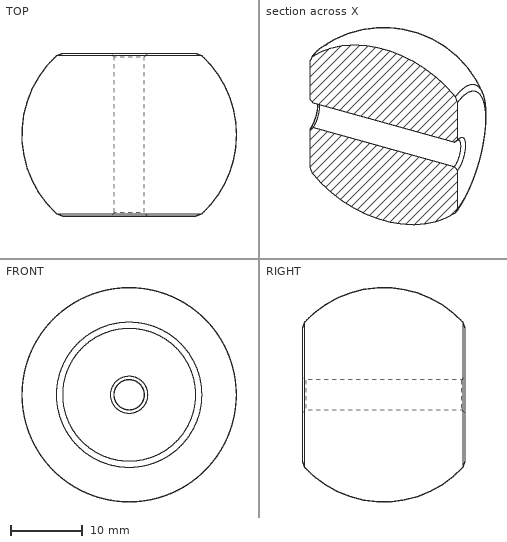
import cadquery as cq
import math

ball_radius = 15.0
flat_spacing = 22.75
bore_radius = 4.2 / 2
chamfer = 0.5

half_width = flat_spacing / 2

sharp_rim_radius = math.sqrt(ball_radius**2 - half_width**2)
flat_radius = sharp_rim_radius - chamfer
rim_angle = math.asin(half_width / ball_radius) - 2 * math.asin(chamfer / (2 * ball_radius))
rim_radius = ball_radius * math.cos(rim_angle)
rim_y = ball_radius * math.sin(rim_angle)

mouth_radius = bore_radius + chamfer
mouth_depth_y = half_width - chamfer


def revolve_about_y(profile):
    """Close a half section beside the Y axis and revolve it a full turn."""
    return profile.close().revolve(360, (0, 0), (0, 1))


def make_knob():
    """Ball with both flats and their chamfered rims."""
    profile = (
        cq.Workplane("XY")
        .moveTo(0, -half_width)
        .lineTo(flat_radius, -half_width)
        .lineTo(rim_radius, -rim_y)
        .threePointArc((ball_radius, 0), (rim_radius, rim_y))
        .lineTo(flat_radius, half_width)
        .lineTo(0, half_width)
    )
    return revolve_about_y(profile)


def make_bore():
    """Through bore, chamfered at both mouths."""
    profile = (
        cq.Workplane("XY")
        .moveTo(0, -half_width)
        .lineTo(mouth_radius, -half_width)
        .lineTo(bore_radius, -mouth_depth_y)
        .lineTo(bore_radius, mouth_depth_y)
        .lineTo(mouth_radius, half_width)
        .lineTo(0, half_width)
    )
    return revolve_about_y(profile)


result = make_knob().cut(make_bore())